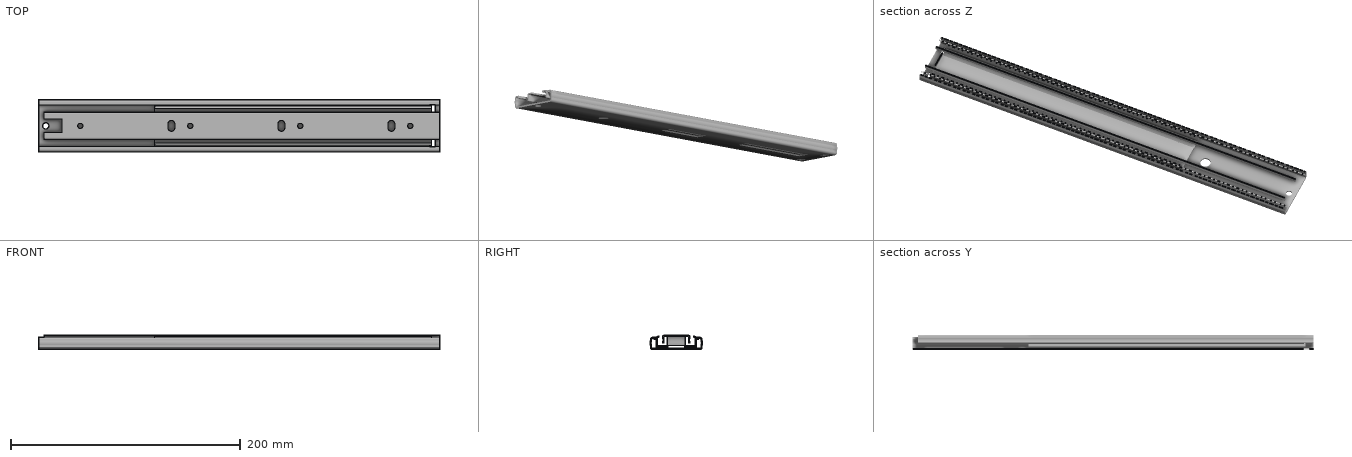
import cadquery as cq
import math

length = 350.0
rail_width = 46.0
sheet = 1.5

outer_height = 11.0
outer_sheet_side = 1.0
outer_corner = 2.0
track_bulge = 0.5
track_bottom = 4.0
track_top = 7.7
lip_reach = 18.2
lip_drop = 0.88
front_hole_x = 6.3
front_hole_diameter = 5.2
access_hole_x = 86.5
access_hole_diameter = 9.0
window_width = 10.5
windows = [(162.0, 206.5), (256.5, 331.0)]
end_slot_start = 341.0
end_slot_end = 345.8
end_slot_inner = 11.2

retainer_start = 101.0
retainer_end = 342.5
retainer_sheet = 1.0
retainer_half_width = 17.5
retainer_gap = 1.0
retainer_height = 12.0
curl_inner_radius = 1.5
strip_rise = 1.0
strip_half_width = 8.0
strip_under_half_width = 7.0
tab_bend_radius = 1.0

inner_start = 5.0
inner_half_width = 12.0
inner_rise = 1.85
inner_bottom = 5.5
inner_corner = 1.58
groove_depth = 0.28
groove_bottom = 6.5
groove_top = 9.8
notch_depth = 15.8
notch_width = 12.0
hole_pitch = 96.0
hole_count = 4
first_hole_x = 36.5
hole_diameter = 4.5
slot_to_hole = 16.5
slot_width = 6.0
slot_length = 9.5

total_height = outer_height + inner_rise
diagonal = math.sqrt(0.5)
inner_underside = total_height - sheet
retainer_floor = sheet + retainer_gap
strip_underside = retainer_floor + strip_rise
strip_top = strip_underside + retainer_sheet


def bend_middle(center_y, center_z, radius, side_y, side_z):
    """Midpoint of a quarter bend; the two sides (+1 or -1) pick its quadrant."""
    return (center_y + side_y * radius * diagonal, center_z + side_z * radius * diagonal)


def extrude_half_profile(half_profile, start, end):
    """Extrude a right-hand YZ outline along X and mirror it about the XZ plane."""
    half = half_profile.close().extrude(end - start)
    return half.union(half.mirror("XZ")).clean().translate((start, 0, 0))


def block(x_range, y_range, z_range):
    """Box spanning the given start and end along each axis."""
    (x0, x1), (y0, y1), (z0, z1) = x_range, y_range, z_range
    return cq.Workplane("XY").box(x1 - x0, y1 - y0, z1 - z0, centered=False).translate((x0, y0, z0))


def make_outer_rail():
    bulge_y = rail_width / 2
    wall_y = bulge_y - track_bulge
    inside_y = wall_y - outer_sheet_side
    lip_underside = outer_height - outer_sheet_side
    bend_y = wall_y - outer_corner
    bend_top_z = outer_height - outer_corner
    inside_radius = outer_corner - outer_sheet_side
    track_z = (track_bottom + track_top) / 2
    lip_edge_z = lip_underside - lip_drop

    profile = (
        cq.Workplane("YZ")
        .moveTo(0, 0)
        .lineTo(bend_y, 0)
        .threePointArc(bend_middle(bend_y, outer_corner, outer_corner, 1, -1), (wall_y, outer_corner))
        .lineTo(wall_y, track_bottom)
        .threePointArc((bulge_y, track_z), (wall_y, track_top))
        .lineTo(wall_y, bend_top_z)
        .threePointArc(bend_middle(bend_y, bend_top_z, outer_corner, 1, 1), (bend_y, outer_height))
        .lineTo(lip_reach, outer_height)
        .lineTo(lip_reach, lip_edge_z)
        .lineTo(lip_reach + outer_sheet_side, lip_edge_z)
        .lineTo(lip_reach + outer_sheet_side, lip_underside)
        .lineTo(bend_y, lip_underside)
        .threePointArc(bend_middle(bend_y, bend_top_z, inside_radius, 1, 1), (inside_y, bend_top_z))
        .lineTo(inside_y, track_top)
        .threePointArc((inside_y + track_bulge, track_z), (inside_y, track_bottom))
        .lineTo(inside_y, sheet)
        .lineTo(0, sheet)
    )
    rail = extrude_half_profile(profile, 0, length)

    for x, diameter in [(front_hole_x, front_hole_diameter), (access_hole_x, access_hole_diameter)]:
        rail = rail.cut(cq.Workplane("XY").center(x, 0).circle(diameter / 2).extrude(sheet))
    for x_range in windows:
        rail = rail.cut(block(x_range, (-window_width / 2, window_width / 2), (0, sheet)))
    end_slot = block((end_slot_start, end_slot_end), (end_slot_inner, lip_reach), (0, sheet))
    return rail.cut(end_slot).cut(end_slot.mirror("XZ"))


def make_retainer():
    wall_outside = retainer_half_width
    wall_inside = wall_outside - retainer_sheet
    curl_outer_radius = curl_inner_radius + retainer_sheet
    curl_y = wall_outside - curl_outer_radius
    curl_z = retainer_height - curl_outer_radius
    floor_top = retainer_floor + retainer_sheet

    profile = (
        cq.Workplane("YZ")
        .moveTo(0, strip_underside)
        .lineTo(strip_under_half_width, strip_underside)
        .lineTo(strip_under_half_width, retainer_floor)
        .lineTo(wall_outside, retainer_floor)
        .lineTo(wall_outside, curl_z)
        .threePointArc(bend_middle(curl_y, curl_z, curl_outer_radius, 1, 1), (curl_y, retainer_height))
        .lineTo(curl_y, retainer_height - retainer_sheet)
        .threePointArc(bend_middle(curl_y, curl_z, curl_inner_radius, 1, 1), (wall_inside, curl_z))
        .lineTo(wall_inside, floor_top)
        .lineTo(strip_half_width, floor_top)
        .lineTo(strip_half_width, strip_top)
        .lineTo(0, strip_top)
    )
    body = extrude_half_profile(profile, retainer_start, retainer_end)
    return body.union(make_stop_tab())


def make_stop_tab():
    """Tab turned up from the rear end of the raised strip to the underside of the inner rail."""
    tab_face = retainer_end - retainer_sheet
    bend_x = tab_face - tab_bend_radius
    bend_z = strip_top + tab_bend_radius
    return (
        cq.Workplane("XZ")
        .moveTo(retainer_end, strip_underside)
        .lineTo(retainer_end, inner_underside)
        .lineTo(tab_face, inner_underside)
        .lineTo(tab_face, bend_z)
        .threePointArc(bend_middle(bend_x, bend_z, tab_bend_radius, 1, -1), (bend_x, strip_top))
        .lineTo(bend_x, strip_underside)
        .close()
        .extrude(strip_half_width, both=True)
    )


def make_inner_rail():
    wall_inside = inner_half_width - sheet
    bend_y = inner_half_width - inner_corner
    bend_z = total_height - inner_corner
    inside_radius = inner_corner - sheet
    tip_radius = sheet / 2
    tip_z = inner_bottom + tip_radius

    profile = (
        cq.Workplane("YZ")
        .moveTo(0, total_height)
        .lineTo(bend_y, total_height)
        .threePointArc(bend_middle(bend_y, bend_z, inner_corner, 1, 1), (inner_half_width, bend_z))
        .lineTo(inner_half_width, groove_top)
        .threePointArc(
            (inner_half_width - groove_depth, (groove_bottom + groove_top) / 2),
            (inner_half_width, groove_bottom),
        )
        .lineTo(inner_half_width, tip_z)
        .threePointArc((inner_half_width - tip_radius, inner_bottom), (wall_inside, tip_z))
        .lineTo(wall_inside, bend_z)
        .threePointArc(bend_middle(bend_y, bend_z, inside_radius, 1, 1), (bend_y, inner_underside))
        .lineTo(0, inner_underside)
    )
    rail = extrude_half_profile(profile, inner_start, length)

    notch = block(
        (inner_start, inner_start + notch_depth),
        (-notch_width / 2, notch_width / 2),
        (inner_underside, total_height),
    )
    rail = rail.cut(notch)

    holes_x = [first_hole_x + i * hole_pitch for i in range(hole_count)]
    slots_x = [x - slot_to_hole for x in holes_x[1:]]
    top_plate = cq.Workplane("XY").workplane(offset=inner_underside)
    for x in holes_x:
        rail = rail.cut(top_plate.center(x, 0).circle(hole_diameter / 2).extrude(sheet))
    for x in slots_x:
        rail = rail.cut(top_plate.center(x, 0).slot2D(slot_length, slot_width, 90).extrude(sheet))
    return rail


outer_rail = make_outer_rail()
retainer = make_retainer()
inner_rail = make_inner_rail()

result = cq.Compound.makeCompound(
    [body.solids().val() for body in (outer_rail, retainer, inner_rail)]
)